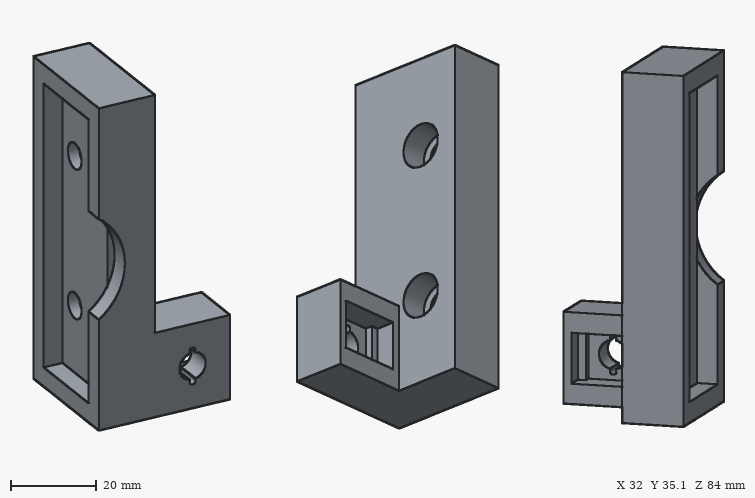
import cadquery as cq

tray_width = 32.0
tray_depth = 15.0
tray_height = 84.0
rim = 5.0
pocket_depth = 5.0

relief_chord = 26.2
relief_depth = 7.0

screw_hole_diameter = 6.6
counterbore_diameter = 11.0
counterbore_floor = 3.0
screw_hole_spacing = 39.0
screw_hole_x = 11.0

block_width = 14.0
block_depth = 20.1
block_height = 22.0

seat_size = 12.2
seat_depth = 7.0
slot_span = 16.1
slot_depth = 5.0

opening_diameter = 7.0
notch_width = 1.5
notch_span = 9.6

mid_z = tray_height / 2
floor_thickness = tray_depth - pocket_depth
block_x = tray_width - block_width
block_mid_y = tray_depth + block_depth / 2
block_mid_z = block_height / 2


def box(x_size, y_size, z_size, corner):
    """Box with its lowest corner at the given point."""
    return cq.Workplane("XY").box(x_size, y_size, z_size, centered=False).translate(corner)


def tray():
    body = box(tray_width, tray_depth, tray_height, (0, 0, 0))
    pocket = box(tray_width - 2 * rim, pocket_depth, tray_height - 2 * rim, (rim, 0, rim))
    return body.cut(pocket)


def rim_relief():
    """Circular segment in the YZ plane, running through the +X rim."""
    half_chord = relief_chord / 2
    return (
        cq.Workplane("YZ", origin=(tray_width - rim, 0, mid_z))
        .moveTo(0, -half_chord)
        .threePointArc((relief_depth, 0), (0, half_chord))
        .close()
        .extrude(rim)
    )


def screw_holes():
    back = cq.Workplane("XZ", origin=(screw_hole_x, tray_depth, mid_z))
    places = back.rarray(0.8, screw_hole_spacing, 1, 2)
    holes = places.circle(screw_hole_diameter / 2).extrude(floor_thickness)
    counterbores = places.circle(counterbore_diameter / 2).extrude(floor_thickness - counterbore_floor)
    return holes.union(counterbores)


def block():
    return box(block_width, block_depth, block_height, (block_x, tray_depth, 0))


def block_cutout():
    """Seat, side slots and keyed opening, all centred on the block's -X face."""
    face = cq.Workplane("YZ", origin=(block_x, block_mid_y, block_mid_z))
    seat = face.rect(seat_size, seat_size).extrude(seat_depth)
    slots = face.rect(slot_span, seat_size).extrude(slot_depth)
    opening = face.circle(opening_diameter / 2).extrude(block_width)
    notches = face.slot2D(notch_span, notch_width, 90).extrude(block_width)
    return seat.union(slots).union(opening).union(notches)


result = tray().union(block())
for cut in (rim_relief(), screw_holes(), block_cutout()):
    result = result.cut(cut)